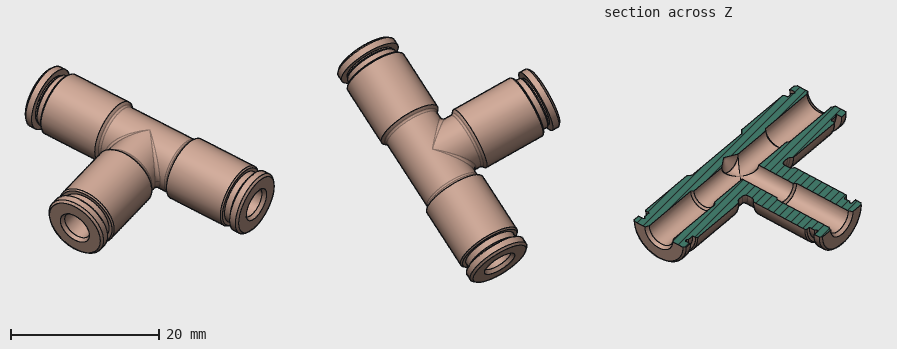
import cadquery as cq
import math

RUN_LENGTH = 35.2
ARM_LENGTH = RUN_LENGTH / 2

BODY_RADIUS = 4.5
LIP_RADIUS = 3.8
GROOVE_RADIUS = 3.6
NECK_RADIUS = 4.0

COLLAR_END = 1.25
LIP_START = 1.48
BODY_START = 2.6
BODY_END = 11.7

COLLAR_CHAMFER = 0.3
LIP_CHAMFER = LIP_RADIUS - GROOVE_RADIUS
BODY_CHAMFER = 0.2
SHOULDER_DROP = BODY_RADIUS - NECK_RADIUS
BLEND_RADIUS = 0.5
SHOULDER_ANGLE = math.radians(45)

MOUTH_RADIUS = 2.4
MOUTH_DEPTH = 0.55
SOCKET_RADIUS = 2.08
PASSAGE_RADIUS = 1.75
SOCKET_DEPTH = 9.5
DRILL_POINT_ANGLE = 118.0


def place_arm(solid, angle):
    """Turn a solid built along +X about Z so that it follows its arm."""
    return solid.rotate((0, 0, 0), (0, 0, 1), angle)


def make_necks():
    """Two crossing plain cylinders with the mitred inside corners rounded."""
    start = ARM_LENGTH - BODY_END - SHOULDER_DROP
    run = cq.Workplane("YZ").circle(NECK_RADIUS).extrude(start, both=True)
    branch = cq.Workplane("XZ").circle(NECK_RADIUS).extrude(start)
    necks = run.union(branch)
    mitre_edges = cq.selectors.BoxSelector(
        (-NECK_RADIUS, -NECK_RADIUS, -NECK_RADIUS),
        (NECK_RADIUS, -BLEND_RADIUS, NECK_RADIUS),
    )
    return necks.edges(mitre_edges).fillet(BLEND_RADIUS)


def make_arm():
    """Turned end of one arm along +X: neck, body, lip, groove and collar."""
    body_end = ARM_LENGTH - BODY_END
    body_start = ARM_LENGTH - BODY_START
    lip_start = ARM_LENGTH - LIP_START
    collar_end = ARM_LENGTH - COLLAR_END
    neck_end = body_end - SHOULDER_DROP
    half_bend = SHOULDER_ANGLE / 2
    tangent = BLEND_RADIUS * math.tan(half_bend)
    diagonal = tangent * math.cos(SHOULDER_ANGLE)
    blend_start = neck_end - tangent
    blend_middle = (
        blend_start + BLEND_RADIUS * math.sin(half_bend),
        NECK_RADIUS + BLEND_RADIUS * (1 - math.cos(half_bend)),
    )
    profile = (
        cq.Workplane("XY")
        .moveTo(blend_start, 0)
        .lineTo(blend_start, NECK_RADIUS)
        .threePointArc(blend_middle, (neck_end + diagonal, NECK_RADIUS + diagonal))
        .lineTo(body_end, BODY_RADIUS)
        .lineTo(body_start - BODY_CHAMFER, BODY_RADIUS)
        .lineTo(body_start, BODY_RADIUS - BODY_CHAMFER)
        .lineTo(body_start, LIP_RADIUS)
        .lineTo(lip_start - LIP_CHAMFER, LIP_RADIUS)
        .lineTo(lip_start, GROOVE_RADIUS)
        .lineTo(collar_end, GROOVE_RADIUS)
        .lineTo(collar_end, BODY_RADIUS)
        .lineTo(ARM_LENGTH - COLLAR_CHAMFER, BODY_RADIUS)
        .lineTo(ARM_LENGTH, BODY_RADIUS - COLLAR_CHAMFER)
        .lineTo(ARM_LENGTH, 0)
        .close()
    )
    return profile.revolve(360, (0, 0, 0), (1, 0, 0))


def make_socket():
    """Countersunk tube socket of one arm, open into the passage."""
    floor = ARM_LENGTH - SOCKET_DEPTH
    taper = SOCKET_RADIUS - PASSAGE_RADIUS
    profile = (
        cq.Workplane("XY")
        .lineTo(0, PASSAGE_RADIUS)
        .lineTo(floor - taper, PASSAGE_RADIUS)
        .lineTo(floor, SOCKET_RADIUS)
        .lineTo(ARM_LENGTH - MOUTH_DEPTH, SOCKET_RADIUS)
        .lineTo(ARM_LENGTH, MOUTH_RADIUS)
        .lineTo(ARM_LENGTH, 0)
        .close()
    )
    return profile.revolve(360, (0, 0, 0), (1, 0, 0))


def make_drill_end():
    """Far end of the branch passage, with a conical point beyond the run bore."""
    point = PASSAGE_RADIUS / math.tan(math.radians(DRILL_POINT_ANGLE / 2))
    profile = (
        cq.Workplane("XY")
        .lineTo(PASSAGE_RADIUS, 0)
        .lineTo(PASSAGE_RADIUS, PASSAGE_RADIUS)
        .lineTo(0, PASSAGE_RADIUS + point)
        .close()
    )
    return profile.revolve(360, (0, 0, 0), (0, 1, 0))


ARM_ANGLES = (0, 180, -90)

result = make_necks()
for angle in ARM_ANGLES:
    result = result.union(place_arm(make_arm(), angle))
for angle in ARM_ANGLES:
    result = result.cut(place_arm(make_socket(), angle))
result = result.cut(make_drill_end())